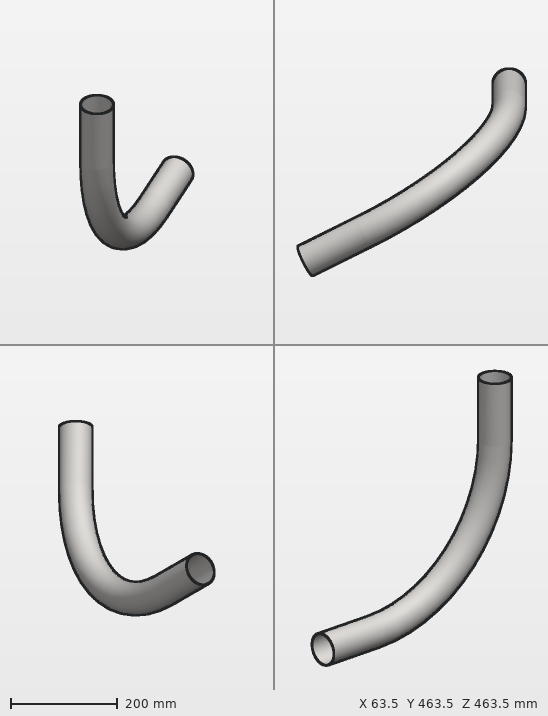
import cadquery as cq
import math

overall_size = 463.5
outer_diameter = 63.5
inner_diameter = 60.3
straight_length = 127.0

outer_radius = outer_diameter / 2
inner_radius = inner_diameter / 2
bend_radius = overall_size - straight_length - outer_radius
leg_reach = bend_radius + straight_length

arc_middle = bend_radius * (1 - math.cos(math.pi / 4))

centreline = (
    cq.Workplane("YZ")
    .moveTo(0, leg_reach)
    .lineTo(0, bend_radius)
    .threePointArc((arc_middle, arc_middle), (bend_radius, 0))
    .lineTo(leg_reach, 0)
)

result = (
    cq.Workplane("XY", origin=(0, 0, leg_reach))
    .circle(outer_radius)
    .circle(inner_radius)
    .sweep(centreline)
)